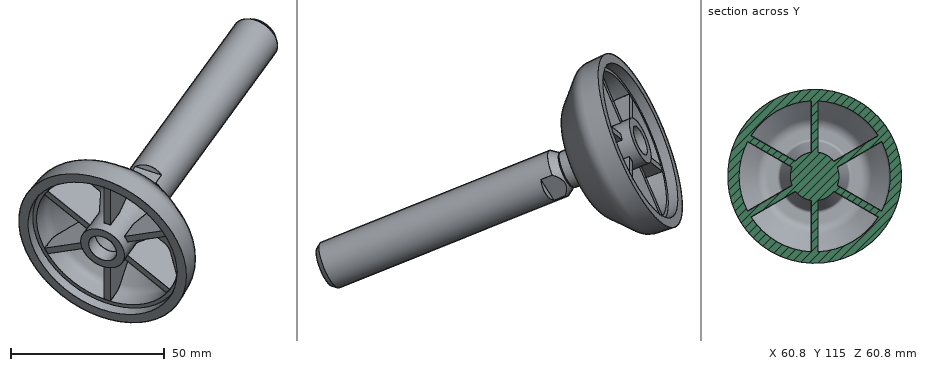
import cadquery as cq
import math

total_length = 115.0

foot_diameter = 60.8
foot_height = 20.9
skirt_taper = 0.6
skirt_corner_height = 8.9
shoulder_round = 6.3
crown_round = 11.2

recess_radius = 27.0
recess_depth = 3.5
cavity_mouth_radius = 25.6
cavity_radius = 25.3
cavity_corner_height = 9.5
cavity_round = 4.4
crown_wall = 3.2

boss_radius = 7.9
root_start = 10.2
root_radius = 11.5
root_upper_round = 2.3
root_lower_round = 1.0

bore_radius = 5.1
bore_depth = 5.0
bore_floor_radius = 3.1
bore_cone_depth = 2.3

rib_count = 6
rib_thickness = 2.3
rib_reach = 25.5

stud_radius = 8.0
stud_start = 29.8
tip_chamfer_width = 1.3
tip_chamfer_length = 1.7
neck_radius = 6.3
neck_end = 26.9
relief_radius = 6.1
relief_length = 0.5

width_across_flats = 13.0
flat_end = 33.9
flat_ramp_length = 0.7

foot_radius = foot_diameter / 2
flat_offset = width_across_flats / 2
cavity_roof = foot_height - crown_wall
skirt_corner_radius = foot_radius - skirt_taper
crown_corner_radius = skirt_corner_radius - (foot_height - skirt_corner_height)
roof_corner_radius = cavity_radius - (cavity_roof - cavity_corner_height)


def turned(corners):
    """Solid of revolution about Y from (radius, height) corners; a third entry rounds that corner."""
    outline = cq.Workplane("XY").moveTo(*corners[0][:2])
    for i in range(1, len(corners)):
        point = cq.Vector(*corners[i][:2])
        if len(corners[i]) == 2:
            outline = outline.lineTo(point.x, point.y)
            continue
        radius = corners[i][2]
        back = (cq.Vector(*corners[i - 1][:2]) - point).normalized()
        ahead = (cq.Vector(*corners[i + 1][:2]) - point).normalized()
        half_angle = back.getAngle(ahead) / 2
        tangent_length = radius / math.tan(half_angle)
        start = point + back * tangent_length
        end = point + ahead * tangent_length
        middle = point + (back + ahead).normalized() * (radius / math.sin(half_angle) - radius)
        outline = outline.lineTo(start.x, start.y)
        outline = outline.threePointArc((middle.x, middle.y), (end.x, end.y))
    return outline.close().revolve(360, (0, 0, 0), (0, 1, 0))


def make_foot_body():
    return turned([
        (0, 0),
        (foot_radius, 0),
        (skirt_corner_radius, skirt_corner_height, shoulder_round),
        (crown_corner_radius, foot_height, crown_round),
        (0, foot_height),
    ])


def make_cavity():
    """Ring-shaped space around the boss."""
    return turned([
        (boss_radius, 0),
        (recess_radius, 0),
        (recess_radius, recess_depth),
        (cavity_mouth_radius, recess_depth),
        (cavity_radius, cavity_corner_height, cavity_round),
        (roof_corner_radius, cavity_roof, cavity_round),
        (root_radius, cavity_roof, root_lower_round),
        (boss_radius, root_start, root_upper_round),
        (boss_radius, 0),
    ])


def make_bore():
    floor = bore_depth + bore_cone_depth
    return turned([
        (0, 0),
        (bore_radius, 0),
        (bore_radius, bore_depth),
        (bore_floor_radius, floor),
        (0, floor),
    ])


def make_ribs():
    """Radial plates from the recess shoulder up into the crown."""
    plate = (
        cq.Workplane("XY")
        .box(rib_thickness, foot_height - recess_depth, rib_reach, centered=(True, False, False))
        .translate((0, recess_depth, 0))
    )
    ribs = plate
    for i in range(1, rib_count):
        ribs = ribs.union(plate.rotate((0, 0, 0), (0, 1, 0), i * 360 / rib_count))
    return ribs


def make_stud():
    stud = turned([
        (0, cavity_roof),
        (relief_radius, cavity_roof),
        (relief_radius, foot_height),
        (neck_radius, foot_height + relief_length),
        (neck_radius, neck_end - relief_length),
        (relief_radius, neck_end),
        (stud_radius, stud_start),
        (stud_radius, total_length - tip_chamfer_length),
        (stud_radius - tip_chamfer_width, total_length),
        (0, total_length),
    ])
    flat_cut = (
        cq.Workplane("YZ")
        .moveTo(neck_end, flat_offset)
        .lineTo(flat_end, flat_offset)
        .lineTo(flat_end + flat_ramp_length, stud_radius)
        .lineTo(neck_end, stud_radius)
        .close()
        .extrude(stud_radius, both=True)
    )
    return stud.cut(flat_cut).cut(flat_cut.mirror("XY"))


foot_body = make_foot_body()
ribs = make_ribs().intersect(foot_body)
foot = foot_body.cut(make_cavity()).union(ribs).cut(make_bore())
result = foot.union(make_stud())